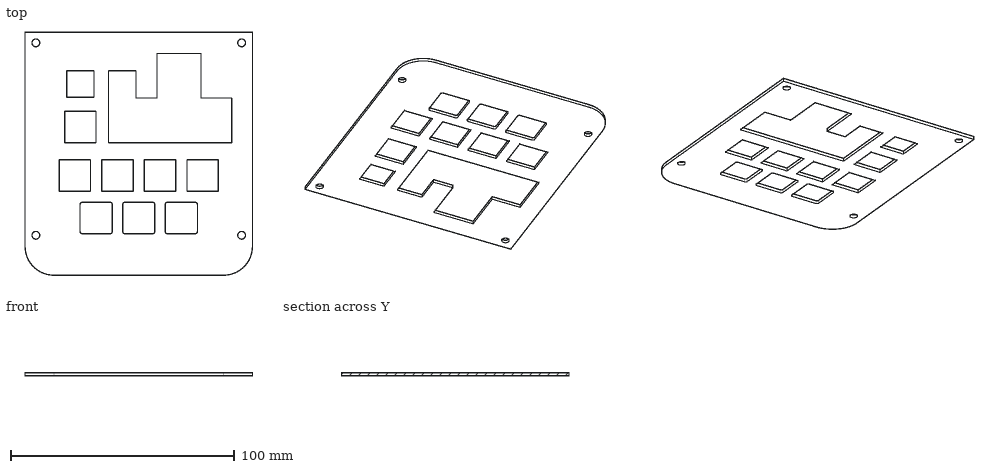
import cadquery as cq

plate_width = 102.0
plate_length = 109.0
plate_thickness = 1.5
bottom_corner_radius = 13.1

hole_diameter = 3.4
hole_side_margin = 4.9
hole_top_margin = 4.8
hole_spacing_y = 86.2

key_size = 14.0
key_pitch = 19.1
upper_row_y = -64.2
upper_row_count = 4
lower_row_y = upper_row_y - key_pitch
lower_row_count = 3
lower_key_width = 14.3
lower_key_corner_radius = 0.9

left_column_x = -26.2
left_key_y = -42.5
small_opening_width = 12.1
small_opening_height = 11.8
small_opening_y = -23.2

display_left = -13.5
display_right = 41.6
display_bottom = -49.5
display_base_top = -29.5
left_arm_width = 12.2
left_arm_top = -17.3
right_arm_left = 8.3
right_arm_width = 19.5
right_arm_top = -9.6


def opening(width, height, x, y):
    """Rectangular cutter through the full plate thickness, centred on (x, y)."""
    return cq.Workplane("XY").center(x, y).rect(width, height).extrude(plate_thickness)


def row_positions(count):
    """X positions of a key row centred on the plate."""
    return [(i - (count - 1) / 2) * key_pitch for i in range(count)]


def make_plate():
    return (
        cq.Workplane("XY")
        .center(0, -plate_length / 2)
        .rect(plate_width, plate_length)
        .extrude(plate_thickness)
        .edges("|Z and <Y")
        .fillet(bottom_corner_radius)
    )


def make_screw_holes():
    hole_x = plate_width / 2 - hole_side_margin
    hole_rows = [-hole_top_margin, -hole_top_margin - hole_spacing_y]
    return (
        cq.Workplane("XY")
        .pushPoints([(x, y) for x in (-hole_x, hole_x) for y in hole_rows])
        .circle(hole_diameter / 2)
        .extrude(plate_thickness)
    )


def make_display_opening():
    left_arm_right = display_left + left_arm_width
    right_arm_right = right_arm_left + right_arm_width
    return (
        cq.Workplane("XY")
        .moveTo(display_left, display_bottom)
        .lineTo(display_right, display_bottom)
        .lineTo(display_right, display_base_top)
        .lineTo(right_arm_right, display_base_top)
        .lineTo(right_arm_right, right_arm_top)
        .lineTo(right_arm_left, right_arm_top)
        .lineTo(right_arm_left, display_base_top)
        .lineTo(left_arm_right, display_base_top)
        .lineTo(left_arm_right, left_arm_top)
        .lineTo(display_left, left_arm_top)
        .close()
        .extrude(plate_thickness)
    )


result = make_plate().cut(make_screw_holes()).cut(make_display_opening())

result = result.cut(opening(small_opening_width, small_opening_height, left_column_x, small_opening_y))
result = result.cut(opening(key_size, key_size, left_column_x, left_key_y))

for x in row_positions(upper_row_count):
    result = result.cut(opening(key_size, key_size, x, upper_row_y))

for x in row_positions(lower_row_count):
    lower_key = opening(lower_key_width, key_size, x, lower_row_y)
    result = result.cut(lower_key.edges("|Z").fillet(lower_key_corner_radius))